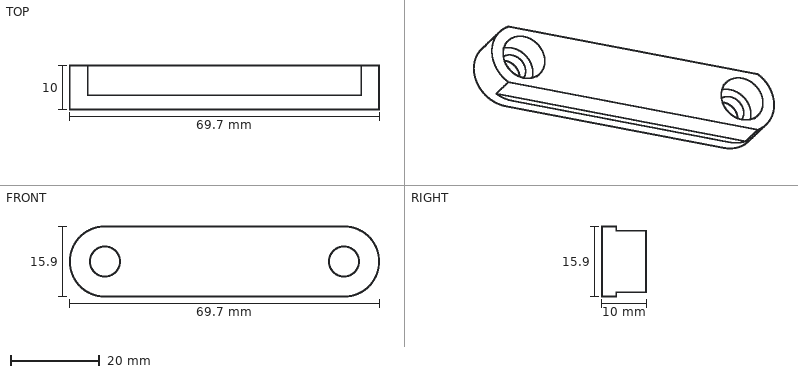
import cadquery as cq

height = 15.875
length = 69.72
depth = 10.0

flange_depth = 3.3
flange_lip = 1.0
body_depth = depth - flange_depth
body_height = height - 2 * flange_lip

hole_diameter = 6.73
hole_spacing = length - height
narrow_bore_depth = 3.4
counterbore_diameter = 10.3
counterbore_depth = depth - narrow_bore_depth


def bar_block(front_y, block_depth):
    """Round-ended bar lying along X, extruded from front_y towards +Y."""
    plane = cq.Workplane("XZ", origin=(0, front_y, 0))
    return plane.slot2D(length, height).extrude(-block_depth)


def make_flange():
    return bar_block(0, flange_depth)


def make_body():
    """The same bar, with flats cut along its top and bottom edges."""
    limits = cq.Workplane("XY").box(length, depth, body_height, centered=(True, False, True))
    return bar_block(flange_depth, body_depth).intersect(limits)


def end_cylinders(front_y, diameter, cylinder_depth):
    """A pair of cylinders on the end centres, running from front_y towards +Y."""
    centers = [(-hole_spacing / 2, 0), (hole_spacing / 2, 0)]
    plane = cq.Workplane("XZ", origin=(0, front_y, 0))
    return plane.pushPoints(centers).circle(diameter / 2).extrude(-cylinder_depth)


through_bores = end_cylinders(0, hole_diameter, depth)
counterbores = end_cylinders(narrow_bore_depth, counterbore_diameter, counterbore_depth)

result = make_flange().union(make_body()).cut(through_bores).cut(counterbores)